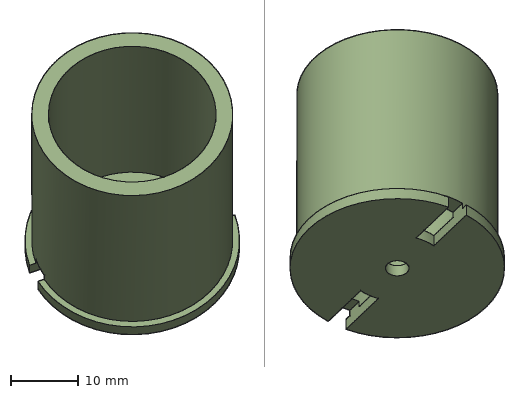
import cadquery as cq

total_height = 34.0
body_diameter = 30.0
bore_diameter = 25.0

flange_diameter = 32.0
base_thickness = 2.0
center_hole_diameter = 3.5

slot_width = 3.2
slot_height = 3.0
hub_diameter = 15.0


def make_cup():
    """Flanged cylinder with a flat-bottomed bore."""
    flange = cq.Workplane("XY").circle(flange_diameter / 2).extrude(base_thickness)
    body = cq.Workplane("XY").circle(body_diameter / 2).extrude(total_height)
    bore = (
        cq.Workplane("XY")
        .workplane(offset=base_thickness)
        .circle(bore_diameter / 2)
        .extrude(total_height - base_thickness)
    )
    return flange.union(body).cut(bore)


def make_slots():
    """Bar across the base along Y, interrupted by the round hub."""
    bar = cq.Workplane("XY").rect(slot_width, flange_diameter).extrude(slot_height)
    hub = cq.Workplane("XY").circle(hub_diameter / 2).extrude(slot_height)
    return bar.cut(hub)


def make_center_hole():
    """Round hole through the floor on the cup axis."""
    return cq.Workplane("XY").circle(center_hole_diameter / 2).extrude(base_thickness)


result = make_cup().cut(make_slots()).cut(make_center_hole())